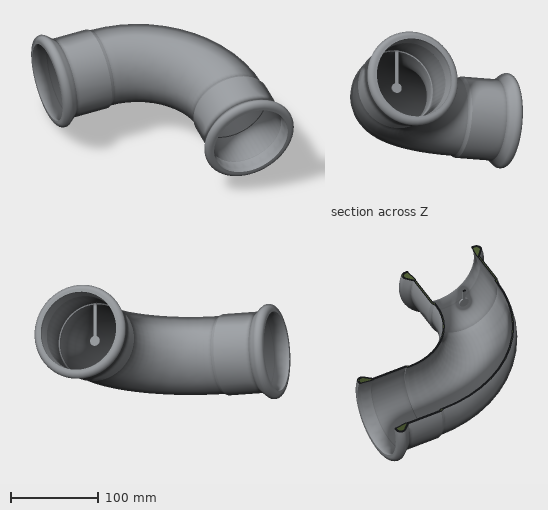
import cadquery as cq

overall_length = 233.5
bead_diameter = 109.5
reach = overall_length - bead_diameter / 2

pipe_outer_diameter = 89.5
pipe_inner_diameter = 86.0

socket_outer_diameter = 93.5
socket_bore_diameter = 89.0
socket_length = 64.7
socket_shoulder_start = 60.5
socket_shoulder_end = 62.8
socket_shoulder_diameter = 91.0
socket_stop_depth = socket_shoulder_start
flare_start = 18.0

bead_flat_diameter = 97.5
bead_round_start = 10.0
bead_flank_diameter = 106.5
bead_crown_depth = 5.8
wall = 2.0
mouth_diameter = 91.0

seal_lip_diameter = 87.8
seal_lip_depth = 16.5
seal_taper_start = 4.0

tab_disc_diameter = 11.7
tab_stem_width = 3.5
tab_thickness = 1.9

bend_radius = reach - socket_length


def outer_profile():
    """Half section of the solid socket: X is the radius, Y the depth from the mouth."""
    return (
        cq.Workplane("XY")
        .lineTo(bead_flat_diameter / 2, 0)
        .threePointArc(
            (bead_diameter / 2, bead_crown_depth),
            (bead_flank_diameter / 2, bead_round_start),
        )
        .lineTo(socket_outer_diameter / 2, flare_start)
        .lineTo(socket_outer_diameter / 2, socket_shoulder_start)
        .lineTo(socket_shoulder_diameter / 2, socket_shoulder_end)
        .lineTo(pipe_outer_diameter / 2, socket_length)
        .lineTo(0, socket_length)
        .close()
    )


def draw_cavity_wall(sketch):
    """Continue a half section along the inner wall of the bead, from the mouth to the bore."""
    return (
        sketch
        .lineTo(mouth_diameter / 2, wall)
        .lineTo(bead_flat_diameter / 2, wall)
        .threePointArc(
            (bead_diameter / 2 - wall, bead_crown_depth),
            (bead_flank_diameter / 2 - wall, bead_round_start),
        )
        .lineTo(socket_bore_diameter / 2, flare_start)
    )


def bore_profile():
    """Half section of the stepped bore through one socket, with the bead cavity."""
    mouth_edge = cq.Workplane("XY").lineTo(mouth_diameter / 2, 0)
    return (
        draw_cavity_wall(mouth_edge)
        .lineTo(socket_bore_diameter / 2, socket_stop_depth)
        .lineTo(pipe_inner_diameter / 2, socket_stop_depth)
        .lineTo(pipe_inner_diameter / 2, socket_length)
        .lineTo(0, socket_length)
        .close()
    )


def seal_profile():
    """Half section of the sealing ring, which rests against the whole cavity wall."""
    lip_start = cq.Workplane("XY").moveTo(seal_lip_diameter / 2, seal_lip_depth)
    taper = lip_start.lineTo(mouth_diameter / 2, seal_taper_start)
    return draw_cavity_wall(taper).close()


def revolve_at_mouths(profile):
    """Revolve a half section and place one copy at the -Y mouth and one at the +X mouth."""
    ring = profile.revolve(360, (0, 0, 0), (0, 1, 0))
    front_ring = ring.translate((0, -reach, 0))
    side_ring = ring.rotate((0, 0, 0), (0, 0, 1), 90).translate((reach, 0, 0))
    return [front_ring, side_ring]


def make_bend(diameter):
    """Solid quarter bend between the inner ends of the two sockets."""
    return (
        cq.Workplane("XZ", origin=(0, -bend_radius, 0))
        .circle(diameter / 2)
        .revolve(90, (bend_radius, 0, 0), (bend_radius, -1, 0))
    )


def make_tab():
    """Flat disc on the socket axis with a stem up to the socket wall."""
    stem_length = (socket_bore_diameter + wall) / 2
    back_plane = cq.Workplane("XZ", origin=(0, socket_stop_depth - reach, 0))
    disc = back_plane.circle(tab_disc_diameter / 2).extrude(tab_thickness)
    stem = (
        back_plane.center(0, stem_length / 2)
        .rect(tab_stem_width, stem_length)
        .extrude(tab_thickness)
    )
    return disc.union(stem)


def make_elbow():
    """Bend with a beaded socket at each end, bored through, with the tab inside."""
    elbow = make_bend(pipe_outer_diameter)
    for socket in revolve_at_mouths(outer_profile()):
        elbow = elbow.union(socket)
    elbow = elbow.cut(make_bend(pipe_inner_diameter))
    for bore in revolve_at_mouths(bore_profile()):
        elbow = elbow.cut(bore)
    return elbow.union(make_tab())


elbow = make_elbow()
seals = revolve_at_mouths(seal_profile())

result = cq.Compound.makeCompound([elbow.val(), *[seal.val() for seal in seals]])